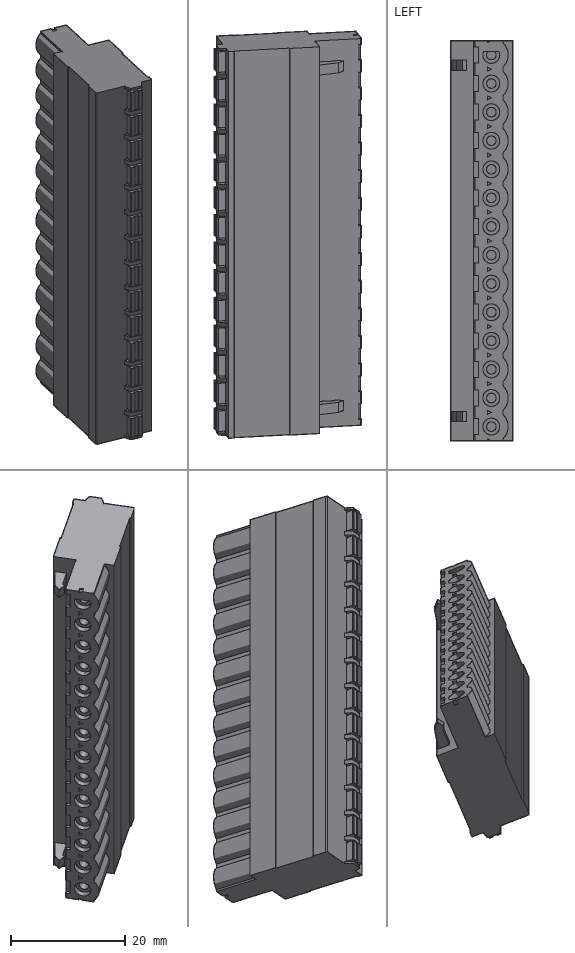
import cadquery as cq


length_z = 70.0
thickness_y = 10.9
overall_x = 26.2
pole_count = 14
pitch = length_z / pole_count
pole_heights = [(i + 0.5) * pitch for i in range(pole_count)]
boundary_heights = [i * pitch for i in range(pole_count + 1)]

body_start_x = 8.3
body_end_x = 24.6
waist_start_x = 13.65
waist_depth = 0.2
lower_waist_end_x = 21.7
upper_waist_end_x = 23.65
waist_ramp = 0.2
edge_chamfer_x = 0.35
edge_chamfer_y = 0.15

plug_top_y = 6.85
plug_base_y = 1.75
plug_edge_chamfer = 0.2
socket_y = 3.8
lobe_radius = 2.95
socket_radius = 1.5
socket_depth = 1.05
bore_radius = 0.85
bore_depth = 7.0
socket_flat_offset = 0.6

slot_floor_y = 6.0
slot_height = 2.8
slot_depth = 0.5
notch_tip_y = socket_y
notch_width = 0.7
notch_height = 0.7
notch_depth = 0.85

latch_height = 1.8
latch_end_offset = 3.35
latch_under_y = 8.55
latch_root_y = 10.65
latch_tip = (3.65, 8.8)
latch_nose_top = (4.75, 9.9)
latch_barb = (4.8, 8.1)
latch_barb_end_x = 5.45

rib_end_x = 25.8
rib_thickness = 0.8
rib_root_low_y = 5.5
rib_root_high_y = 8.9
rib_tip_low_y = 6.15
rib_tip_high_y = 8.4
rib_corner_radius = 0.35
block_height = 3.7
block_end_x = 25.9
block_low_y = 6.0
block_high_y = 8.3
ridge_width = 0.7
ridge_inset = 0.1


def box(x_range, y_range, z_range):
    """Box spanning three (low, high) ranges."""
    sizes = [high - low for low, high in (x_range, y_range, z_range)]
    corner = (x_range[0], y_range[0], z_range[0])
    return cq.Workplane("XY").box(*sizes, centered=False).translate(corner)


def around(center, size):
    """(low, high) range of a given size about a center."""
    return (center - size / 2, center + size / 2)


def x_cylinder(radius, z, depth):
    """Cylinder along X on a pole axis, starting at the plug face."""
    return cq.Workplane("YZ").center(socket_y, z).circle(radius).extrude(depth)


def make_body():
    """Housing with a shallow waist on both broad sides."""
    waist_top_y = thickness_y - waist_depth
    outline = [
        (body_start_x, 0),
        (waist_start_x, 0),
        (waist_start_x, waist_depth),
        (lower_waist_end_x - waist_ramp, waist_depth),
        (lower_waist_end_x, 0),
        (body_end_x - edge_chamfer_x, 0),
        (body_end_x, edge_chamfer_y),
        (body_end_x, thickness_y),
        (upper_waist_end_x, thickness_y),
        (upper_waist_end_x - waist_ramp, waist_top_y),
        (waist_start_x, waist_top_y),
        (waist_start_x, thickness_y),
        (body_start_x, thickness_y),
    ]
    return cq.Workplane("XY").polyline(outline).close().extrude(length_z)


def make_plug():
    """Bar with a lobe around each pole axis."""
    plug = box((0, body_start_x), (plug_base_y, plug_top_y), (0, length_z))
    plug = plug.edges("<X and >Y").chamfer(plug_edge_chamfer)
    for z in pole_heights:
        lobe = x_cylinder(lobe_radius, z, body_start_x)
        lower_half = box((0, body_start_x), (0, socket_y), around(z, pitch))
        plug = plug.union(lobe.intersect(lower_half))
    return plug


def make_socket(z, has_flat):
    """Stepped socket; the keyed one is flat on its +Z side."""
    socket = x_cylinder(socket_radius, z, socket_depth).union(x_cylinder(bore_radius, z, bore_depth))
    if has_flat:
        flat_z = z + socket_flat_offset
        above_flat = box((0, bore_depth), around(socket_y, 2 * socket_radius), (flat_z, z + socket_radius))
        socket = socket.cut(above_flat)
    return socket


def make_slot(z):
    """Shallow slot open to the plug face and the plug top."""
    return box((0, slot_depth), (slot_floor_y, plug_top_y), around(z, slot_height))


def make_notch(z):
    """Triangular notch in the plug face, pointing toward -Y."""
    back_y = notch_tip_y + notch_width
    low_z, high_z = around(z, notch_height)
    corners = [(notch_tip_y, z), (back_y, low_z), (back_y, high_z)]
    return cq.Workplane("YZ").polyline(corners).close().extrude(notch_depth)


def make_latch(low_z):
    """Hooked latch arm reaching over the plug."""
    outline = [
        (body_start_x, latch_under_y),
        (latch_barb_end_x, latch_under_y),
        latch_barb,
        latch_tip,
        latch_nose_top,
        (body_start_x, latch_root_y),
    ]
    arm = cq.Workplane("XY").polyline(outline).close().extrude(latch_height)
    return arm.translate((0, 0, low_z))


def make_rib(z):
    """Tapered rib between terminals, halved at the ends of the row."""
    low_z, high_z = around(z, rib_thickness)
    low_z = max(low_z, 0)
    high_z = min(high_z, length_z)
    outline = [
        (body_end_x, rib_root_low_y),
        (rib_end_x, rib_tip_low_y),
        (rib_end_x, rib_tip_high_y),
        (body_end_x, rib_root_high_y),
    ]
    rib = cq.Workplane("XY").polyline(outline).close().extrude(high_z - low_z)
    rib = rib.edges("|Z and >X").fillet(rib_corner_radius)
    return rib.translate((0, 0, low_z))


def make_terminal(z):
    """Terminal block with two ridges along its outer face."""
    z_range = around(z, block_height)
    terminal = box((body_end_x, block_end_x), (block_low_y, block_high_y), z_range)
    ridge_starts = (block_low_y + ridge_inset, block_high_y - ridge_inset - ridge_width)
    for y in ridge_starts:
        terminal = terminal.union(box((block_end_x, overall_x), (y, y + ridge_width), z_range))
    return terminal


result = make_body().union(make_plug())
for z in pole_heights:
    is_keyed = z == pole_heights[-1]
    result = result.cut(make_socket(z, is_keyed)).cut(make_slot(z)).union(make_terminal(z))
for z in boundary_heights:
    result = result.cut(make_notch(z)).union(make_rib(z))
for low_z in (latch_end_offset, length_z - latch_end_offset - latch_height):
    result = result.union(make_latch(low_z))